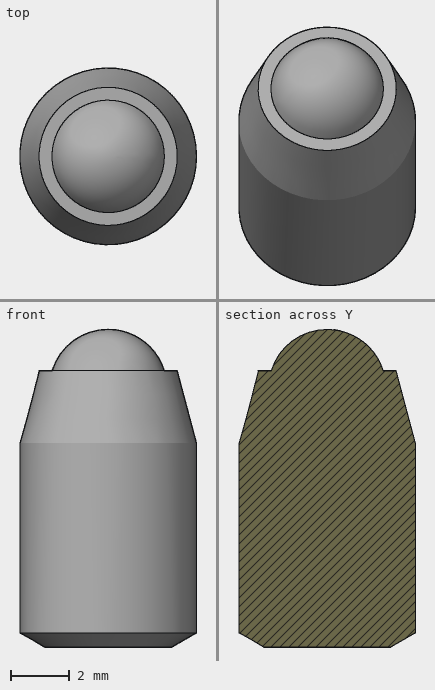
import cadquery as cq
import math

total_height = 10.8
body_diameter = 6.0
base_chamfer_height = 0.5
base_chamfer_angle = 60.0
shoulder_height = 6.92
nose_height = 9.4
rim_radius = 2.34
ball_radius = 2.0

body_radius = body_diameter / 2
base_radius = body_radius - base_chamfer_height * math.tan(math.radians(base_chamfer_angle))
ball_center_height = total_height - ball_radius
ball_rim_radius = math.sqrt(ball_radius**2 - (nose_height - ball_center_height) ** 2)

ball_mid_angle = math.asin(ball_rim_radius / ball_radius) / 2
ball_mid_point = (
    ball_radius * math.sin(ball_mid_angle),
    ball_center_height + ball_radius * math.cos(ball_mid_angle),
)

half_section = (
    cq.Workplane("XZ")
    .lineTo(base_radius, 0)
    .lineTo(body_radius, base_chamfer_height)
    .lineTo(body_radius, shoulder_height)
    .lineTo(rim_radius, nose_height)
    .lineTo(ball_rim_radius, nose_height)
    .threePointArc(ball_mid_point, (0, total_height))
    .close()
)

result = half_section.revolve(360, (0, 0, 0), (0, 1, 0))